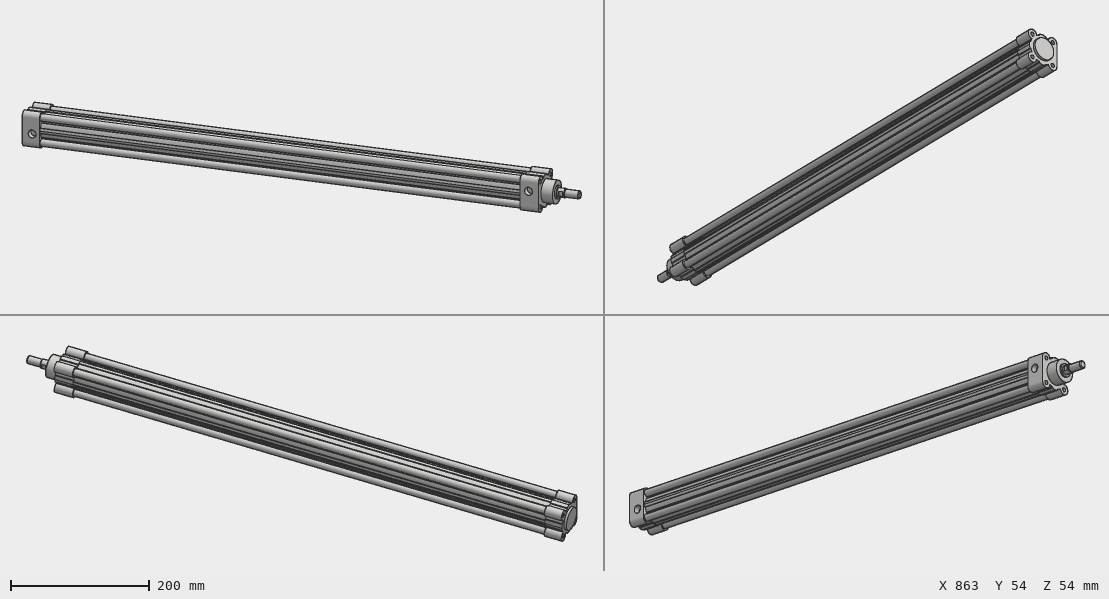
import cadquery as cq

stroke = 700.0
body_length = stroke + 105.0
cap_size = 54.0
bolt_offset = 19.0

cap_lobe_radius = cap_size / 2 - bolt_offset
cap_round_radius = 23.0
cap_ridge_width = 12.0
cap_ridge_height = 1.4
cap_ridge_crest = 25.2
port_wall_thickness = 15.0
rear_cap_length = 27.0
front_cap_length = 29.0
screw_hole_diameter = 6.0
screw_hole_depth = 15.0

port_diameter = 12.0
port_depth = 10.0
port_inset = 15.5
port_height = 5.0

collar_diameter = 35.0
rear_collar_length = 4.0
front_collar_length = 18.0
nose_diameter = 20.0
nose_length = 2.5

barrel_length = body_length - rear_cap_length - front_cap_length
barrel_end = rear_cap_length + barrel_length
barrel_round_radius = 23.0
barrel_lobe_radius = 5.6
barrel_ridge_width = 8.0
barrel_ridge_height = 0.8
barrel_ridge_crest = 24.8
groove_width = 2.5
groove_offset = bolt_offset - barrel_lobe_radius - groove_width / 2
groove_floor = 19.0

rod_diameter = 14.0
rod_extension = 32.0
thread_diameter = 12.0
thread_length = 22.0
thread_chamfer = 1.5
shoulder_chamfer = 1.0
flats_width = 12.0
flats_length = 6.0
flats_setback = 3.0

CORNERS = [(sy * bolt_offset, sz * bolt_offset) for sy in (-1, 1) for sz in (-1, 1)]


def along_axis(x):
    """Sketch plane square to the axis, with its local axes along Y and Z."""
    return cq.Workplane("YZ", origin=(x, 0, 0))


def rod_section(x, diameter, length):
    return along_axis(x).circle(diameter / 2).extrude(length)


def ridge_prism(x, length, width, height, crest):
    """Square bar whose four sides each rise to a shallow ridge at the distance `crest` from the axis."""
    half_width = width / 2
    eave = crest - height
    upright = (
        along_axis(x)
        .polyline([
            (half_width, eave), (0, crest), (-half_width, eave),
            (-half_width, -eave), (0, -crest), (half_width, -eave),
        ])
        .close()
        .extrude(length)
    )
    return upright.union(upright.rotate((0, 0, 0), (1, 0, 0), 90))


def lobed_body(x, length, round_radius, lobe_radius):
    """Round body with a lobe at each of the four corners."""
    lobes = along_axis(x).pushPoints(CORNERS).circle(lobe_radius).extrude(length)
    return rod_section(x, 2 * round_radius, length).union(lobes)


def cap_block(x, length):
    """Cap with a flat port face on its -Y side."""
    block = lobed_body(x, length, cap_round_radius, cap_lobe_radius)
    block = block.union(ridge_prism(x, length, cap_ridge_width, cap_ridge_height, cap_ridge_crest))
    port_wall = (
        along_axis(x)
        .center(port_wall_thickness / 2 - cap_size / 2, 0)
        .rect(port_wall_thickness, 2 * bolt_offset)
        .extrude(length)
    )
    return block.union(port_wall)


def port(x, z):
    return cq.Workplane("XZ", origin=(x, -cap_size / 2, z)).circle(port_diameter / 2).extrude(-port_depth)


def screw_holes(x, depth):
    return along_axis(x).pushPoints(CORNERS).circle(screw_hole_diameter / 2).extrude(depth)


def make_rear_cap():
    cap = cap_block(0, rear_cap_length)
    cap = cap.union(rod_section(-rear_collar_length, collar_diameter, rear_collar_length))
    cap = cap.cut(screw_holes(0, screw_hole_depth))
    return cap.cut(port(port_inset, -port_height))


def make_barrel():
    body = lobed_body(rear_cap_length, barrel_length, barrel_round_radius, barrel_lobe_radius)
    ridges = ridge_prism(
        rear_cap_length, barrel_length, barrel_ridge_width, barrel_ridge_height, barrel_ridge_crest
    )
    body = body.union(ridges)
    groove_depth = cap_size / 2 - groove_floor
    grooves = (
        along_axis(rear_cap_length)
        .pushPoints([
            (side * groove_offset, end * (groove_floor + groove_depth / 2))
            for side in (-1, 1) for end in (-1, 1)
        ])
        .rect(groove_width, groove_depth)
        .extrude(barrel_length)
    )
    return body.cut(grooves).cut(grooves.rotate((0, 0, 0), (1, 0, 0), 90))


def make_front_cap():
    cap = cap_block(barrel_end, front_cap_length)
    cap = cap.union(rod_section(body_length, collar_diameter, front_collar_length))
    cap = cap.union(rod_section(body_length + front_collar_length, nose_diameter, nose_length))
    rod_bore_length = front_cap_length + front_collar_length + nose_length
    cap = cap.cut(rod_section(barrel_end, rod_diameter, rod_bore_length))
    cap = cap.cut(screw_holes(body_length, -screw_hole_depth))
    return cap.cut(port(body_length - port_inset, port_height))


def make_rod():
    shoulder = body_length + rod_extension
    rod = rod_section(barrel_end, rod_diameter, shoulder - barrel_end).faces(">X").chamfer(shoulder_chamfer)
    flats_start = shoulder - flats_setback - flats_length
    between_flats = along_axis(flats_start).rect(flats_width, rod_diameter).extrude(flats_length)
    rod = rod.cut(rod_section(flats_start, rod_diameter, flats_length).cut(between_flats))
    thread = rod_section(shoulder, thread_diameter, thread_length).faces(">X").chamfer(thread_chamfer)
    return rod.union(thread)


rear_cap = make_rear_cap()
barrel = make_barrel()
front_cap = make_front_cap()
rod = make_rod()

result = cq.Compound.makeCompound([rear_cap.val(), barrel.val(), front_cap.val(), rod.val()])